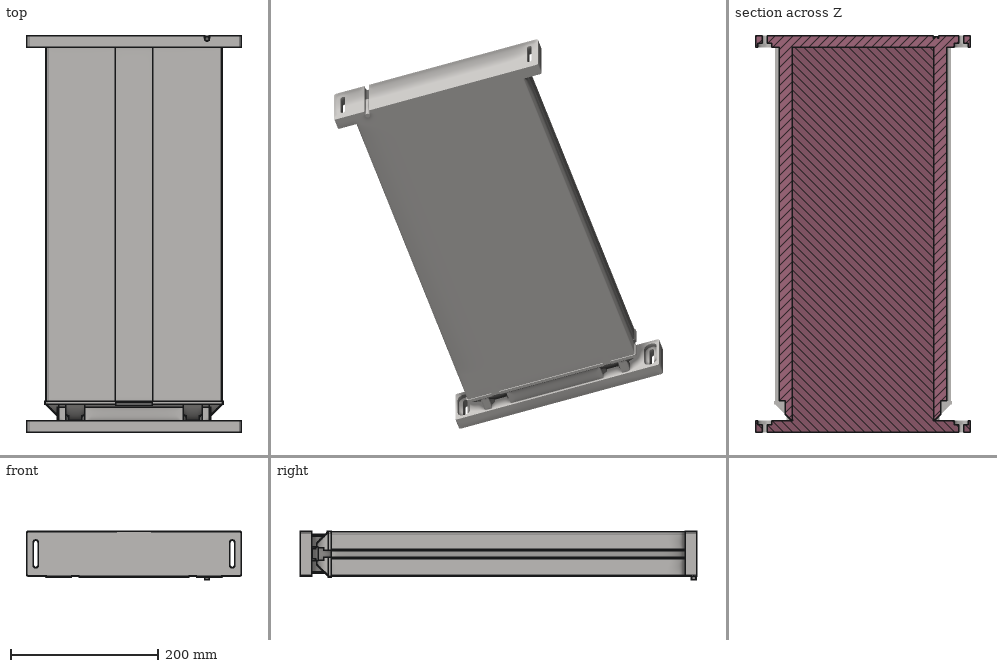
import cadquery as cq
TOTAL_LENGTH = 540.0
PLATE_WIDTH = 292.0
PLATE_HEIGHT = 61.0
PLATE_THICKNESS = 16.0
CORNER_RADIUS = 2.5

SLOT_WIDTH = 6.5
SLOT_LENGTH = 37.0
SLOT_EDGE_DISTANCE = 12.5
SLOT_RECESS_WIDTH = 18.0
SLOT_RECESS_LENGTH = SLOT_LENGTH + SLOT_RECESS_WIDTH - SLOT_WIDTH
SLOT_RECESS_DEPTH = 5.5
SLOT_CENTER_X = PLATE_WIDTH / 2 - SLOT_EDGE_DISTANCE

TUBE_WIDTH = 240.0
TUBE_HEIGHT = 60.5
MID_HEIGHT = TUBE_HEIGHT / 2
COLLAR_FRONT = 38.5
COLLAR_THICKNESS = 4.5
COLLAR_OVERHANG = 1.35
COLLAR_RISE = 0.5
COLLAR_TOP = TUBE_HEIGHT + COLLAR_RISE
COLLAR_BACK = COLLAR_FRONT + COLLAR_THICKNESS
TUBE_END = TOTAL_LENGTH - PLATE_THICKNESS

BAND_WIDTH = 51.5
BAND_DEPTH = 0.25
CLIP_WIDTH = 49.0
CLIP_OVERHANG = 1.5
CLIP_DEPTH = 4.0
CLIP_HEIGHT = 2.0
CLIP_RISE = 0.25
CLIP_TOP = COLLAR_TOP + CLIP_RISE

TUBE_GROOVE_MOUTH = 13.0
TUBE_GROOVE_STRAIGHT = 3.0
TUBE_GROOVE_SLOPE = 2.0

WIPER_GAP = 0.5
WIPER_RADIUS = 1.5
WIPER_LENGTH = COLLAR_FRONT - PLATE_THICKNESS - WIPER_GAP
SIDE_POCKET_DEPTH = 13.5
SIDE_POCKET_HEIGHT = 17.5
SIDE_POCKET_BACK = 32.5
SIDE_SLIT_HEIGHT = 9.5

INNER_WIDTH = 208.5
INNER_HEIGHT = 53.0
INNER_CHAMFER = 2.0
CHANNEL_CENTER_X = 80.0
CHANNEL_WIDTH = 26.5
CHANNEL_STRAIGHT = 9.0
CHANNEL_SLOPE = 4.5
CHANNEL_DEPTH = 19.5
INNER_GROOVE_WIDTH = 19.0
INNER_GROOVE_DEPTH = 8.5
INNER_GROOVE_SLOPE = 2.5

RIM_GAP_WIDTH = 11.0

PEG_DIAMETER = 6.5
PEG_X = 99.5
PEG_INSET = 4.5
PEG_Y = TOTAL_LENGTH - PEG_INSET
PEG_BOTTOM = -5.15
PEG_TOP = MID_HEIGHT


def block(width, y_start, y_end, z_start, z_end, x_center=0):
    """Box given by its X width and its Y and Z ranges."""
    size = (width, y_end - y_start, z_end - z_start)
    corner = (x_center - width / 2, y_start, z_start)
    return cq.Workplane("XY").box(*size, centered=False).translate(corner)


def rounded_bar(width, y_start, y_end, z_start, z_end):
    """Bar along Y with rounded long edges."""
    bar = block(width, y_start, y_end, z_start, z_end)
    return bar.edges("|Y").fillet(CORNER_RADIUS)


def along_y(points, y_start, y_end):
    """Extrude an (x, z) outline along Y."""
    sketch = cq.Workplane("XZ", origin=(0, y_start, 0)).polyline(points).close()
    return sketch.extrude(y_start - y_end)


def upright_slots(width, length, y_start, y_end):
    """Pair of vertical round-ended slots, cut along Y."""
    plane = cq.Workplane("XZ", origin=(0, y_start, MID_HEIGHT))
    centers = [(-SLOT_CENTER_X, 0), (SLOT_CENTER_X, 0)]
    return plane.pushPoints(centers).slot2D(length, width, 90).extrude(y_start - y_end)


def end_plate(y_start, recess_start):
    y_end = y_start + PLATE_THICKNESS
    plate = rounded_bar(PLATE_WIDTH, y_start, y_end, 0, PLATE_HEIGHT)
    plate = plate.cut(upright_slots(SLOT_WIDTH, SLOT_LENGTH, y_start, y_end))
    recess_end = recess_start + SLOT_RECESS_DEPTH
    return plate.cut(upright_slots(SLOT_RECESS_WIDTH, SLOT_RECESS_LENGTH, recess_start, recess_end))


def groove_points(mouth, straight, slope, depth):
    """Symmetric groove section as (distance across, depth) points, from one lip to the other."""
    half = mouth / 2
    floor = half - slope
    side = [(half, 0), (half, straight), (floor, straight + slope), (floor, depth)]
    mirrored = [(-across, down) for across, down in reversed(side)]
    return list(dict.fromkeys(side + mirrored))


def inner_bar():
    """Inner profile, from the front plate back to the rear plate."""
    bottom = MID_HEIGHT - INNER_HEIGHT / 2
    bar = block(INNER_WIDTH, PLATE_THICKNESS, TUBE_END, bottom, bottom + INNER_HEIGHT)
    bar = bar.edges("|Y").chamfer(INNER_CHAMFER)
    channel = groove_points(CHANNEL_WIDTH, CHANNEL_STRAIGHT, CHANNEL_SLOPE, CHANNEL_DEPTH)
    groove = groove_points(INNER_GROOVE_WIDTH, 0, INNER_GROOVE_SLOPE, INNER_GROOVE_DEPTH)
    for side in (-1, 1):
        for x_center in (-CHANNEL_CENTER_X, CHANNEL_CENTER_X):
            points = [
                (x_center + across, MID_HEIGHT + side * (INNER_HEIGHT / 2 - down))
                for across, down in channel
            ]
            bar = bar.cut(along_y(points, PLATE_THICKNESS, TUBE_END))
        points = [(side * (INNER_WIDTH / 2 - down), MID_HEIGHT + across) for across, down in groove]
        bar = bar.cut(along_y(points, PLATE_THICKNESS, TUBE_END))
    return bar


def tube():
    body = rounded_bar(TUBE_WIDTH, COLLAR_BACK, TUBE_END, 0, TUBE_HEIGHT)
    body = body.cut(block(BAND_WIDTH, COLLAR_BACK, TUBE_END, TUBE_HEIGHT - BAND_DEPTH, TUBE_HEIGHT))
    depth = TUBE_GROOVE_STRAIGHT + TUBE_GROOVE_SLOPE
    groove = groove_points(TUBE_GROOVE_MOUTH, TUBE_GROOVE_STRAIGHT, TUBE_GROOVE_SLOPE, depth)
    for side in (-1, 1):
        points = [(side * (TUBE_WIDTH / 2 - down), MID_HEIGHT + across) for across, down in groove]
        body = body.cut(along_y(points, COLLAR_BACK, TUBE_END))
    return body


def wiper():
    front_width = TUBE_WIDTH - 2 * WIPER_LENGTH
    front_height = TUBE_HEIGHT - 2 * WIPER_LENGTH
    base = cq.Workplane("XZ", origin=(0, COLLAR_FRONT, MID_HEIGHT)).rect(TUBE_WIDTH, TUBE_HEIGHT)
    frustum = base.workplane(offset=WIPER_LENGTH).rect(front_width, front_height).loft(ruled=True)
    return frustum.edges("not(#Y)").fillet(WIPER_RADIUS)


def collar():
    width = TUBE_WIDTH + 2 * COLLAR_OVERHANG
    rim = rounded_bar(width, COLLAR_FRONT, COLLAR_BACK, -COLLAR_OVERHANG, COLLAR_TOP)
    for x_center in (-CHANNEL_CENTER_X, CHANNEL_CENTER_X):
        rim = rim.cut(block(RIM_GAP_WIDTH, COLLAR_FRONT, COLLAR_BACK, -COLLAR_OVERHANG, 0, x_center))
    clip_front = COLLAR_FRONT - CLIP_OVERHANG
    return rim.union(block(CLIP_WIDTH, clip_front, clip_front + CLIP_DEPTH, CLIP_TOP - CLIP_HEIGHT, CLIP_TOP))


def side_pockets():
    """Stepped pockets in both sides of the collar and the wiper."""
    reach = SIDE_POCKET_DEPTH + COLLAR_OVERHANG
    wiper_front = COLLAR_FRONT - WIPER_LENGTH
    steps = [(SIDE_SLIT_HEIGHT, COLLAR_BACK), (SIDE_POCKET_HEIGHT, SIDE_POCKET_BACK)]
    pockets = cq.Workplane("XY")
    for side in (-1, 1):
        x_center = side * (TUBE_WIDTH / 2 + COLLAR_OVERHANG - reach / 2)
        for height, y_back in steps:
            z_start = MID_HEIGHT - height / 2
            pockets = pockets.union(block(reach, wiper_front, y_back, z_start, z_start + height, x_center))
    return pockets


def peg_slot():
    """Slot through the height of the rear plate, open to the rear, with a round inner end."""
    straight = block(PEG_DIAMETER, PEG_Y, TOTAL_LENGTH, 0, PLATE_HEIGHT, PEG_X)
    round_end = cq.Workplane("XY").center(PEG_X, PEG_Y).circle(PEG_DIAMETER / 2).extrude(PLATE_HEIGHT)
    return straight.union(round_end)


def peg():
    plane = cq.Workplane("XY", origin=(PEG_X, PEG_Y, PEG_BOTTOM))
    return plane.circle(PEG_DIAMETER / 2).extrude(PEG_TOP - PEG_BOTTOM)


def make_slider():
    """Front plate and inner profile."""
    plate = end_plate(0, PLATE_THICKNESS - SLOT_RECESS_DEPTH)
    return plate.union(inner_bar())


def make_housing(slider):
    """Rear plate, tube, collar and wiper, hollowed to the section of the inner profile."""
    plate = end_plate(TUBE_END, TUBE_END)
    plate = plate.cut(peg_slot()).union(peg())
    sleeve = collar().union(wiper()).cut(side_pockets())
    return tube().union(sleeve).cut(slider).union(plate)


slider = make_slider()
housing = make_housing(slider)
result = cq.Compound.makeCompound([housing.solids().val(), slider.solids().val()])